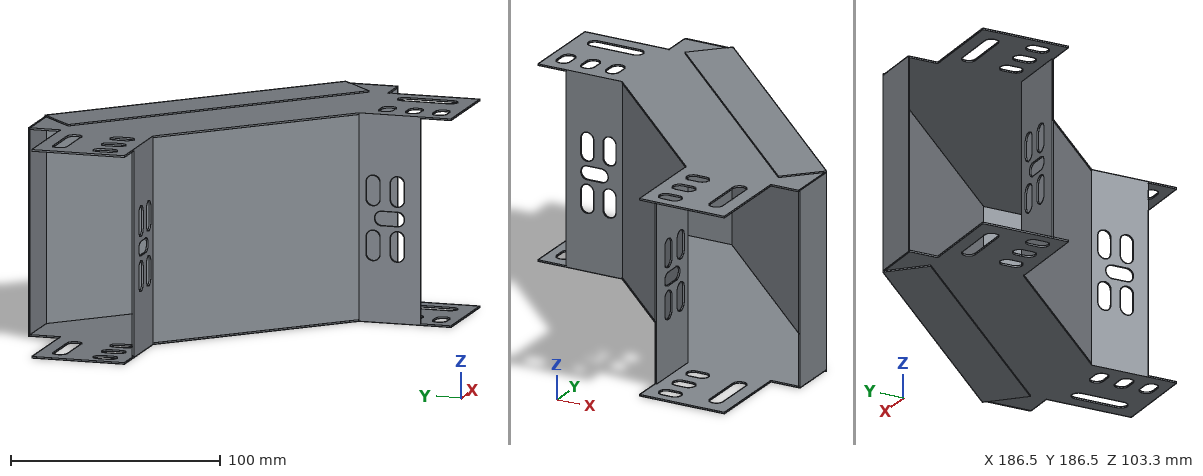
import cadquery as cq
import math

span = 186.5
total_height = 103.3
body_sheet = 0.84
cover_sheet = 0.7

tab_length = 45.9
tab_inner = 124.3
tab_width = 46.2
wall_setback = 0.1
flange_setback = 15.3

cover_corner = 72.0
lip_width = 23.9

slot_width = 7.0
slot_pitch = 13.5
long_slot_length = 29.8
long_slot_along = 22.7
long_slot_across = 160.0
short_slot_length = 12.0
short_slot_along = 22.0
short_slot_across = 136.5
flange_slot_length = 15.0
flange_slot_near = 26.8
flange_slot_far = 39.0

bend_angle = math.radians(45)
bend_offset = math.tan(bend_angle / 2)

tab_outer = tab_inner + tab_width
lip_top = total_height / 2
plate_top = lip_top - cover_sheet
plate_inside = plate_top - body_sheet
shoulder = span - cover_sheet
inside_corner = cover_corner - cover_sheet * bend_offset


def prism(points, z_low, z_high):
    """Upright prism over a polygon in plan."""
    return cq.Workplane("XY", origin=(0, 0, z_low)).polyline(points).close().extrude(z_high - z_low)


def swapped(points):
    """The plan points mirrored about the line y = x, in reverse order."""
    return [(y, x) for x, y in reversed(points)]


def mirrored_about_diagonal(solid):
    """The solid reflected in the plane y = x."""
    return solid.mirror("YZ").rotate((0, 0, 0), (0, 0, 1), -90)


def plates():
    """Matching upper and lower plates, each with two end tabs."""
    half = [
        (tab_length, tab_inner),
        (0, tab_inner),
        (0, tab_outer),
        (tab_length, tab_outer),
        (tab_length, shoulder),
        (inside_corner, shoulder),
    ]
    outline = half + swapped(half)
    upper = prism(outline, plate_inside, plate_top)
    lower = prism(outline, -plate_top, -plate_inside)
    return upper.union(lower)


def inner_wall():
    """Side flange, 45 degree wall and second side flange, joining the two plates."""
    bend_outside = tab_length + wall_setback * math.sqrt(2)
    bend_inside = bend_outside + body_sheet * bend_offset
    half = [
        (bend_outside, tab_inner),
        (flange_setback, tab_inner),
        (flange_setback, tab_inner + body_sheet),
        (bend_inside, tab_inner + body_sheet),
    ]
    return prism(half + swapped(half), -plate_inside, plate_inside)


def tab_slots():
    """Cutters for the slots through both plates of the tab that points to -X."""
    plane = cq.Workplane("XY", origin=(0, 0, -lip_top))
    long_slot = plane.center(long_slot_along, long_slot_across).slot2D(long_slot_length, slot_width)
    cutters = long_slot.extrude(total_height)
    for step in (-1, 0, 1):
        place = plane.center(short_slot_along + step * slot_pitch, short_slot_across)
        cutters = cutters.union(place.slot2D(short_slot_length, slot_width, 90).extrude(total_height))
    return cutters


def flange_slots():
    """Cutters for the slots through the side flange of the tab that points to -X."""
    plane = cq.Workplane("XZ", origin=(0, tab_inner + 2 * body_sheet, 0))
    depth = 3 * body_sheet
    level_along = flange_slot_near + (flange_slot_length - slot_width) / 2
    cutters = plane.center(level_along, 0).slot2D(flange_slot_length, slot_width).extrude(depth)
    for along in (flange_slot_near, flange_slot_far):
        for height in (-slot_pitch, slot_pitch):
            place = plane.center(along, height)
            cutters = cutters.union(place.slot2D(flange_slot_length, slot_width, 90).extrude(depth))
    return cutters


def make_tray_body():
    """The tray bend: two plates joined by the slotted inner wall."""
    body = plates().union(inner_wall())
    for cutters in (tab_slots(), flange_slots()):
        body = body.cut(cutters).cut(mirrored_about_diagonal(cutters))
    return body


def make_cover():
    """Outer cover: two wings and a 45 degree wall with a lip over each plate."""
    half_inside = [(tab_length, shoulder), (inside_corner, shoulder)]
    half_outside = [(tab_length, span), (cover_corner, span)]
    inside = half_inside + swapped(half_inside)
    outside = half_outside + swapped(half_outside)
    wall_outline = inside + outside[::-1]
    cover = prism(wall_outline, -plate_top, plate_top)

    lip_shift = lip_width / math.sqrt(2)
    half_lip = [
        (cover_corner - lip_shift, span - lip_shift),
        (cover_corner, span),
    ]
    lip_outline = half_lip + swapped(half_lip)
    for z_low in (plate_top, -lip_top):
        cover = cover.union(prism(lip_outline, z_low, z_low + cover_sheet))
    return cover


tray_body = make_tray_body()
cover = make_cover()
result = cq.Compound.makeCompound([tray_body.val(), cover.val()])